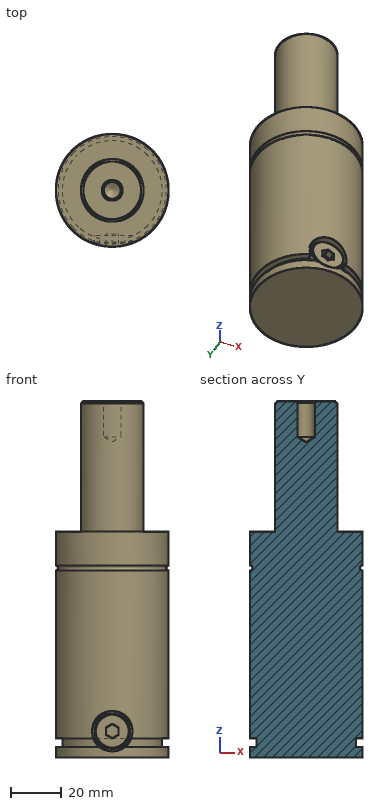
import cadquery as cq
import math

total_height = 142.0
body_diameter = 45.0
body_radius = body_diameter / 2
body_height = 90.0

rod_diameter = 25.0
rod_chamfer = 1.0

hole_diameter = 6.8
hole_mouth_diameter = 8.2
hole_depth = 14.2
drill_point_angle = 118.0

base_groove_bottom = 4.3
base_groove_top = 7.7
base_groove_diameter = 39.8
collar_groove_height = 75.5
collar_groove_radius = 1.0

port_height = 10.5
port_diameter = 16.0
port_floor_y = -18.0
plug_diameter = 14.0
plug_face_y = -21.0
plug_chamfer = 0.4
socket_across_flats = 5.0
socket_depth = 3.5


def cylinder(diameter, bottom, top):
    """Cylinder on the Z axis between two heights."""
    return cq.Workplane("XY").workplane(offset=bottom).circle(diameter / 2).extrude(top - bottom)


def port_cylinder(diameter, back_y, front_y):
    """Cylinder on the port axis, from back_y out to front_y."""
    return (
        cq.Workplane("XZ", origin=(0, back_y, port_height))
        .circle(diameter / 2)
        .extrude(back_y - front_y)
    )


def ring_groove(bottom, top, floor_diameter):
    """Ring that removes everything outside the floor diameter."""
    return cylinder(body_diameter, bottom, top).cut(cylinder(floor_diameter, bottom, top))


def round_groove(height, section_radius):
    """Ring of circular section centred on the body surface."""
    return (
        cq.Workplane("XZ")
        .center(body_radius, height)
        .circle(section_radius)
        .revolve(360, (-body_radius, 0, 0), (-body_radius, 1, 0))
    )


def rod_hole():
    """Chamfered blind hole with a conical drill point, revolved about Z."""
    radius = hole_diameter / 2
    mouth_radius = hole_mouth_diameter / 2
    mouth_depth = mouth_radius - radius
    point_length = radius / math.tan(math.radians(drill_point_angle / 2))
    floor = total_height - hole_depth
    return (
        cq.Workplane("XZ")
        .moveTo(0, total_height)
        .lineTo(mouth_radius, total_height)
        .lineTo(radius, total_height - mouth_depth)
        .lineTo(radius, floor)
        .lineTo(0, floor - point_length)
        .close()
        .revolve(360, (0, 0, 0), (0, 1, 0))
    )


def plug():
    """Chamfered round plug blank and its hexagon socket, corners up and down."""
    blank = port_cylinder(plug_diameter, port_floor_y, plug_face_y).faces("<Y").chamfer(plug_chamfer)
    socket_corner_diameter = socket_across_flats / math.cos(math.pi / 6)
    socket = (
        cq.Workplane("XZ", origin=(0, plug_face_y, port_height))
        .transformed(rotate=(0, 0, 90))
        .polygon(6, socket_corner_diameter)
        .extrude(-socket_depth)
    )
    return blank, socket


body = cylinder(body_diameter, 0, body_height)
body = body.cut(ring_groove(base_groove_bottom, base_groove_top, base_groove_diameter))
body = body.cut(round_groove(collar_groove_height, collar_groove_radius))

rod = cylinder(rod_diameter, body_height, total_height).faces(">Z").chamfer(rod_chamfer)
body = body.union(rod).cut(rod_hole())

plug_blank, plug_socket = plug()
body = body.cut(port_cylinder(port_diameter, port_floor_y, -body_radius))
result = body.union(plug_blank).cut(plug_socket)